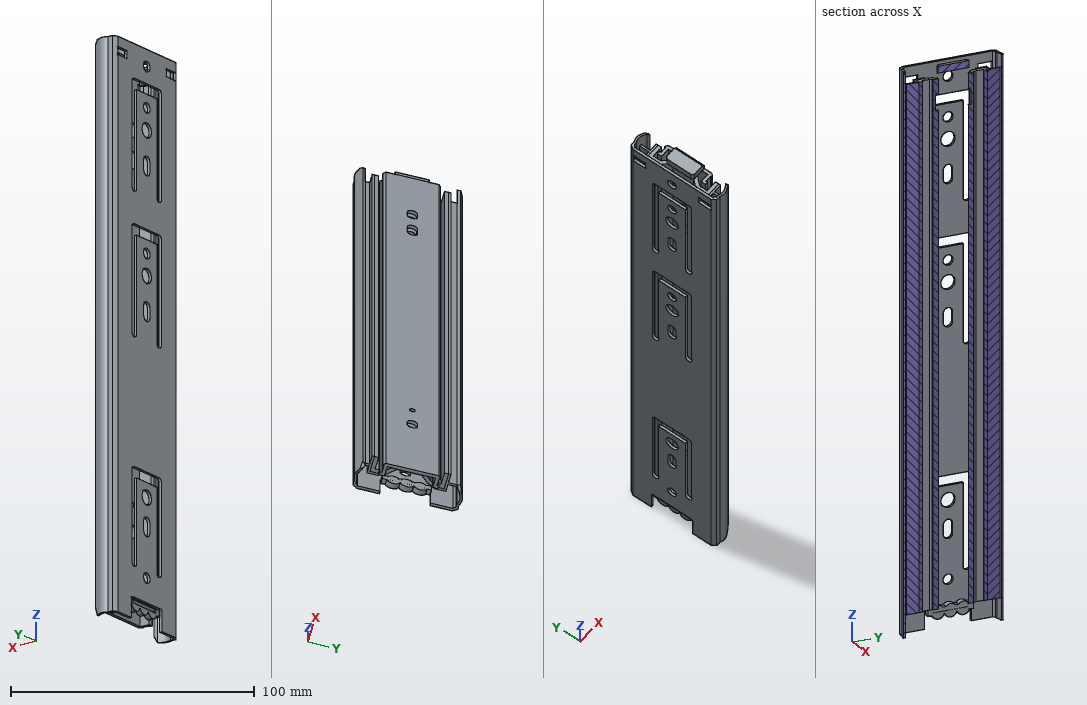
import cadquery as cq
import math


LENGTH = 250.0
DEPTH = 12.2
WIDTH = 45.8
HALF_WIDTH = WIDTH / 2
SHEET = 1.2
FLANGE_SHEET = 1.0

OUTER_FLAT_HALF = 20.2
SHOULDER_X, SHOULDER_Y = 1.2, 22.2
TRACK_START, TRACK_CENTRE, TRACK_END = 3.5, 5.8, 8.0
LIP_X, LIP_Y = 11.0, 20.8
LIP_TIP_X, LIP_TIP_Y = 10.5, 19.5
LIP_INNER_X, LIP_INNER_Y = 9.5, 20.5
LIP_TOP_CHAMFER = 1.8
LIP_BOTTOM_CHAMFER = 3.8
LIP_CHAMFER_DEPTH = 1.5

TONGUE_HALF = 7.0
LANCE_HALF = 10.2
LANCE_TOP_GAP = 4.5
LANCE_CORNER = 1.8
LEG_END_ROUND = 1.5
SCREW_HOLE = 6.5
SMALL_HOLE = 4.5
SLOT_LENGTH, SLOT_WIDTH = 8.5, 4.2
LANCES = [
    (235.0, 49.0, 20.2, 10.5, 35.8),
    (171.8, 49.0, 20.2, 10.5, 35.8),
    (66.2, 43.2, 11.0, 46.0, 23.8),
]
TOP_HOLE_Z = 242.5
WINDOW_INNER, WINDOW_OUTER = 13.8, 20.2
WINDOW_BOTTOM, WINDOW_TOP = 242.0, 245.5
NOTCH_HALF, NOTCH_HEIGHT, NOTCH_CORNER = 10.8, 9.5, 1.0

MIDDLE_SHEET = 1.8
MIDDLE_X = 3.8
MIDDLE_HALF = 15.8
MIDDLE_BOTTOM, MIDDLE_TOP = 10.0, 244.5
MIDDLE_FLANGE_X = 11.0
SHALLOW_SLOPE, STEEP_SLOPE = 21, 42
SLOPE_START_Y, SLOPE_BREAK_Y, SLOPE_END_Y = 10.2, 8.8, 5.2
END_WINDOW_INNER, END_WINDOW_OUTER = 4.2, 8.0
END_WINDOW_BOTTOM, END_WINDOW_TOP = 230.5, 237.5

INNER_SHEET = 1.5
INNER_HALF = 12.2
INNER_EDGE_CHAMFER = 1.0
INNER_FLANGE_Y = 11.8
INNER_FLANGE_X = 6.2
INNER_CURL_Y = 12.5
INNER_BOTTOM, INNER_TOP = 4.2, 246.8

ACCESS_WIDTH = 4.2
ACCESS_SLOTS = [(216.5, 6.5), (203.5, 8.0), (42.0, 5.8)]
PEEP_HOLE, PEEP_HOLE_Z = 2.2, 53.8

CAGE_SHEET = 1.0
CAGE_FOOT_Y = 11.8
CAGE_RIB_X = 6.5
CAGE_RIB_Y = 21.5

BUMPER_Z = 7.5
LOBE_RADIUS, LOBE_PITCH = 3.0, 5.8
BAR_HALF, BAR_BELOW, BAR_ABOVE = 10.5, 1.0, 2.0
GROOVE_HALF, GROOVE_HEIGHT, GROOVE_DEPTH = 8.0, 1.5, 2.0

STOP_X, STOP_HALF, STOP_TOP = 4.8, 7.2, 250.0
STOP_CORNER, STOP_EDGE = 1.0, 1.2


def offset_path(path, distance):
    """Points of an open path moved sideways to its right, with mitred corners."""
    normals = []
    for (x0, y0), (x1, y1) in zip(path, path[1:]):
        length = math.hypot(x1 - x0, y1 - y0)
        normals.append(((y1 - y0) / length, (x0 - x1) / length))
    befores = [normals[0]] + normals
    afters = normals + [normals[-1]]
    moved = []
    for (x, y), (ax, ay), (bx, by) in zip(path, befores, afters):
        reach = distance / (1 + ax * bx + ay * by)
        moved.append((x + (ax + bx) * reach, y + (ay + by) * reach))
    return moved


def folded_sheet(half_path, thickness, bottom, top):
    """Folded sheet symmetric about Y = 0; half_path is its face on the +Y half."""
    mirrored = [(x, -y) for x, y in reversed(half_path)]
    path = mirrored + half_path
    section = path + offset_path(path, thickness)[::-1]
    return cq.Workplane("XY", origin=(0, 0, bottom)).polyline(section).close().extrude(top - bottom)


def box(x0, x1, y0, y1, z0, z1):
    """Box between the given limits."""
    return cq.Workplane("XY").box(x1 - x0, y1 - y0, z1 - z0, centered=False).translate((x0, y0, z0))


def upright_slot(z, length, width, depth):
    """Round-ended slot cutter along Z, starting at X = 0."""
    return cq.Workplane("YZ").center(0, z).slot2D(length, width, 90).extrude(depth)


def round_hole(z, diameter, depth):
    """Round hole cutter along X, starting at X = 0."""
    return cq.Workplane("YZ").center(0, z).circle(diameter / 2).extrude(depth)


def lance_cut(top, length):
    """U-shaped cut that frees a tongue on its two sides and its top."""
    leg = LANCE_HALF - TONGUE_HALF
    bar = box(0, SHEET, -LANCE_HALF, LANCE_HALF, top - LANCE_TOP_GAP, top)
    cut = bar.edges("|X and >Z").fillet(LANCE_CORNER)
    for side in (-1, 1):
        centre_y = side * (LANCE_HALF - leg / 2)
        leg_top = top - LANCE_TOP_GAP / 2
        leg_bottom = top - length
        leg_cut = box(0, SHEET, centre_y - leg / 2, centre_y + leg / 2, leg_bottom, leg_top)
        cut = cut.union(leg_cut.edges("|X and <Z").fillet(LEG_END_ROUND))
    return cut


def outer_flange():
    """Flange on the +Y edge of the outer rail, with a rounded ball track and a turned-in lip."""
    inner_shoulder_y = SHOULDER_Y - FLANGE_SHEET
    section = (
        cq.Workplane("XY")
        .moveTo(0, OUTER_FLAT_HALF)
        .lineTo(SHOULDER_X, SHOULDER_Y)
        .lineTo(TRACK_START, SHOULDER_Y)
        .threePointArc((TRACK_CENTRE, HALF_WIDTH), (TRACK_END, SHOULDER_Y))
        .lineTo(LIP_X, LIP_Y)
        .lineTo(LIP_TIP_X, LIP_TIP_Y)
        .lineTo(LIP_INNER_X, LIP_INNER_Y)
        .lineTo(TRACK_END, inner_shoulder_y)
        .threePointArc((TRACK_CENTRE, HALF_WIDTH - FLANGE_SHEET), (TRACK_START, inner_shoulder_y))
        .lineTo(SHOULDER_X + FLANGE_SHEET, inner_shoulder_y)
        .lineTo(SHEET, OUTER_FLAT_HALF)
        .close()
    )
    return section.extrude(LENGTH)


def make_outer_rail():
    flange = outer_flange()
    rail = flange.union(flange.mirror("XZ"))
    rail = rail.union(box(0, SHEET, -OUTER_FLAT_HALF, OUTER_FLAT_HALF, 0, LENGTH))

    for top, length, hole_drop, small_hole_drop, slot_drop in LANCES:
        rail = rail.cut(lance_cut(top, length))
        rail = rail.cut(round_hole(top - hole_drop, SCREW_HOLE, SHEET))
        rail = rail.cut(round_hole(top - small_hole_drop, SMALL_HOLE, SHEET))
        rail = rail.cut(upright_slot(top - slot_drop, SLOT_LENGTH, SLOT_WIDTH, SHEET))
    rail = rail.cut(round_hole(TOP_HOLE_Z, SMALL_HOLE, SHEET))

    for y0, y1 in ((-WINDOW_OUTER, -WINDOW_INNER), (WINDOW_INNER, WINDOW_OUTER)):
        rail = rail.cut(box(0, SHEET, y0, y1, WINDOW_BOTTOM, WINDOW_TOP))
    notch = box(0, SHEET, -NOTCH_HALF, NOTCH_HALF, 0, NOTCH_HEIGHT)
    rail = rail.cut(notch.edges("|X and >Z").fillet(NOTCH_CORNER))

    for end_z, drop in ((0, LIP_BOTTOM_CHAMFER), (LENGTH, -LIP_TOP_CHAMFER)):
        corner = [(LIP_X - LIP_CHAMFER_DEPTH, end_z), (LIP_X, end_z), (LIP_X, end_z + drop)]
        slant = cq.Workplane("XZ").polyline(corner).close().extrude(HALF_WIDTH, both=True)
        rail = rail.cut(slant)
    return rail


def cut_access_holes(rail):
    """Slots and hole of a rail that give access to the screws of the rail behind it."""
    for z, length in ACCESS_SLOTS:
        rail = rail.cut(upright_slot(z, length, ACCESS_WIDTH, DEPTH))
    return rail.cut(round_hole(PEEP_HOLE_Z, PEEP_HOLE, DEPTH))


def make_middle_rail():
    break_x = MIDDLE_X + (SLOPE_START_Y - SLOPE_BREAK_Y) * math.tan(math.radians(SHALLOW_SLOPE))
    centre_x = break_x + (SLOPE_BREAK_Y - SLOPE_END_Y) * math.tan(math.radians(STEEP_SLOPE))
    half_path = [
        (centre_x, SLOPE_END_Y),
        (break_x, SLOPE_BREAK_Y),
        (MIDDLE_X, SLOPE_START_Y),
        (MIDDLE_X, MIDDLE_HALF),
        (MIDDLE_FLANGE_X, MIDDLE_HALF),
    ]
    rail = cut_access_holes(folded_sheet(half_path, MIDDLE_SHEET, MIDDLE_BOTTOM, MIDDLE_TOP))
    for y0, y1 in ((-END_WINDOW_OUTER, -END_WINDOW_INNER), (END_WINDOW_INNER, END_WINDOW_OUTER)):
        rail = rail.cut(box(0, DEPTH, y0, y1, END_WINDOW_BOTTOM, END_WINDOW_TOP))
    return rail


def make_inner_rail():
    web_x = DEPTH - INNER_SHEET
    inner_face_y = INNER_FLANGE_Y - INNER_SHEET
    web = box(web_x, DEPTH, -INNER_HALF, INNER_HALF, INNER_BOTTOM, INNER_TOP)
    rail = web.edges("|Z and >X").chamfer(INNER_EDGE_CHAMFER)
    flange = box(INNER_FLANGE_X, web_x, inner_face_y, INNER_FLANGE_Y, INNER_BOTTOM, INNER_TOP)
    curl_end_x = INNER_FLANGE_X + INNER_SHEET
    curl = box(INNER_FLANGE_X, curl_end_x, inner_face_y, INNER_CURL_Y, INNER_BOTTOM, INNER_TOP)
    side = flange.union(curl)
    return cut_access_holes(rail.union(side).union(side.mirror("XZ")))


def make_ball_cage(side):
    """Cage strip wrapped round one edge of the middle rail, with a rib into the ball track."""
    outer_y = MIDDLE_HALF + CAGE_SHEET
    front_x = MIDDLE_X - CAGE_SHEET
    foot = box(front_x, MIDDLE_X, CAGE_FOOT_Y, outer_y, MIDDLE_BOTTOM, MIDDLE_TOP)
    arm = box(front_x, MIDDLE_FLANGE_X, MIDDLE_HALF, outer_y, MIDDLE_BOTTOM, MIDDLE_TOP)
    rib_x = CAGE_RIB_X - CAGE_SHEET / 2
    rib = box(rib_x, rib_x + CAGE_SHEET, MIDDLE_HALF, CAGE_RIB_Y, MIDDLE_BOTTOM, MIDDLE_TOP)
    cage = foot.union(arm).union(rib)
    return cage if side > 0 else cage.mirror("XZ")


def make_bumper():
    """Three-lobed bumper between the outer and middle webs, with a wedge groove in its face."""
    bumper = box(SHEET, MIDDLE_X, -BAR_HALF, BAR_HALF, BUMPER_Z - BAR_BELOW, BUMPER_Z + BAR_ABOVE)
    for place in (-1, 0, 1):
        lobe = cq.Workplane("YZ", origin=(SHEET, place * LOBE_PITCH, BUMPER_Z)).circle(LOBE_RADIUS)
        bumper = bumper.union(lobe.extrude(MIDDLE_X - SHEET))
    wedge = [(SHEET, BUMPER_Z), (SHEET + GROOVE_DEPTH, BUMPER_Z), (SHEET, BUMPER_Z + GROOVE_HEIGHT)]
    return bumper.cut(cq.Workplane("XZ").polyline(wedge).close().extrude(GROOVE_HALF, both=True))


def make_stop_block():
    """Block on the top end of the inner rail, with slanted edges."""
    block = box(STOP_X, DEPTH, -STOP_HALF, STOP_HALF, INNER_TOP, STOP_TOP)
    block = block.edges("|Z and <X").chamfer(STOP_CORNER)
    return block.edges(">X and >Z").chamfer(STOP_EDGE)


outer_rail = make_outer_rail()
middle_rail = make_middle_rail()
inner_rail = make_inner_rail()
ball_cages = [make_ball_cage(side) for side in (-1, 1)]
bumper = make_bumper()
stop_block = make_stop_block()

result = cq.Compound.makeCompound(
    [
        outer_rail.val(),
        middle_rail.val(),
        inner_rail.val(),
        *[cage.val() for cage in ball_cages],
        bumper.val(),
        stop_block.val(),
    ]
)